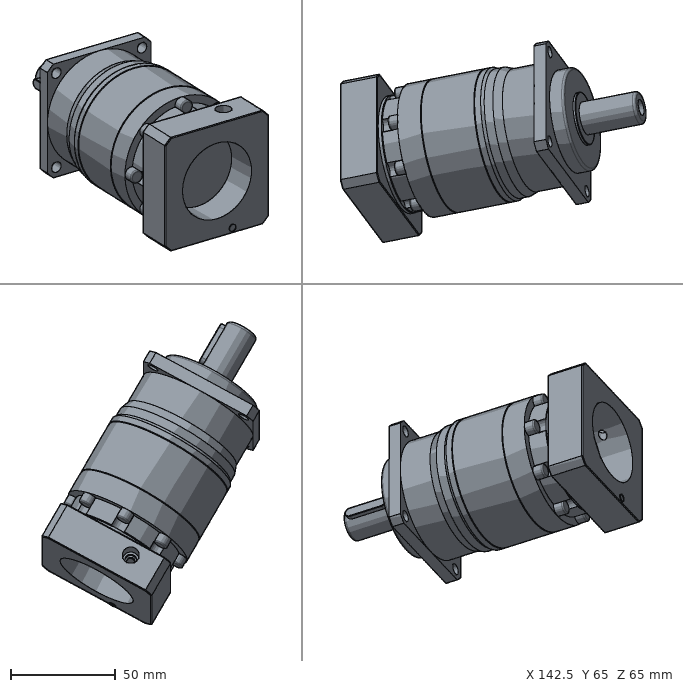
import cadquery as cq
import math


seal_front_x = 28.5
pilot_front_x = 29.8
flange_front_x = 37.0
flange_rear_x = 43.2
taper_start_x = 59.3
taper_end_x = 63.5
step_start_x = 68.0
step_end_x = 69.4
front_joint_x = 72.7
rear_joint_x = 99.9
barrel_rear_x = 111.9
neck_rear_x = 121.5
plate_front_x = 123.1
plate_rear_x = 142.1
overall_length = 142.5

square_side = 60.0
corner_radius = 40.0

shaft_radius = 8.0
shaft_tip_fillet = 1.4
shaft_end_x = flange_rear_x
center_mouth_radius = 3.8
center_relief_radius = 2.7
center_thread_radius = 2.1
center_relief_depth = 3.4
center_thread_depth = 12.8
center_cone_angle = 60.0
drill_tip_angle = 120.0

key_width = 5.0
key_length = 22.1
key_front_x = 2.3
key_bottom = 5.1
key_top = 10.3
key_chamfer = 0.3

seal_radius = 12.8
seal_chamfer = 0.3
pilot_radius = 25.1
pilot_fillet = 1.1
front_radius = 29.9
collar_radius = 31.5
barrel_radius = 32.5
joint_width = 0.4
joint_depth = 0.3
neck_radius = 28.4
neck_chamfer = 0.4
flange_hole_radius = 2.7
flange_hole_circle = 35.0

screw_count = 8
screw_circle = 28.9
screw_pocket_radius = 3.5
screw_head_radius = 3.4
screw_head_height = 5.0
screw_head_fillet = 0.7

spigot_radius = 28.6
plate_chamfer = 0.4
motor_bore_radius = 20.0
motor_bore_front_x = 125.4
access_hole_x = 130.1
access_hole_y = 12.0
access_mouth_radius = 4.0
access_mouth_depth = 9.3
access_step_radius = 2.8
access_step_depth = 11.4
access_through_radius = 2.0
rear_stud_radius = 1.9
rear_stud_y = 8.8
rear_stud_z = -27.1


def cylinder_x(radius, start_x, end_x, y=0.0, z=0.0):
    """Cylinder along X between two axial positions."""
    plane = cq.Workplane("YZ", origin=(start_x, y, z))
    return plane.circle(radius).extrude(end_x - start_x)


def square_block(start_x, end_x):
    """Square slab across the axis with its corners turned round."""
    block = cq.Workplane("YZ", origin=(start_x, 0, 0)).rect(square_side, square_side).extrude(end_x - start_x)
    return block.intersect(cylinder_x(corner_radius, start_x, end_x))


def revolve_profile(points):
    """Solid of revolution about the X axis from (x, radius) points."""
    return cq.Workplane("XZ").polyline(points).close().revolve(360, (0, 0, 0), (1, 0, 0))


def key_block():
    """Round-ended key before its top edge is broken."""
    key_center_x = key_front_x + key_length / 2
    plane = cq.Workplane("XZ", origin=(key_center_x, -key_bottom, 0))
    return plane.slot2D(key_length, key_width).extrude(key_top - key_bottom)


def make_key():
    return key_block().faces("<Y").edges().chamfer(key_chamfer)


def center_hole():
    """Stepped centre hole in the shaft tip with a conical bottom."""
    half_cone = math.radians(center_cone_angle / 2)
    half_tip = math.radians(drill_tip_angle / 2)
    cone_depth = (center_mouth_radius - center_relief_radius) / math.tan(half_cone)
    tip_depth = center_thread_depth + center_thread_radius / math.tan(half_tip)
    return revolve_profile([
        (0, 0),
        (0, center_mouth_radius),
        (cone_depth, center_relief_radius),
        (center_relief_depth, center_relief_radius),
        (center_relief_depth, center_thread_radius),
        (center_thread_depth, center_thread_radius),
        (tip_depth, 0),
    ])


def make_shaft():
    shaft = cylinder_x(shaft_radius, 0, shaft_end_x)
    shaft = shaft.faces("<X").edges().fillet(shaft_tip_fillet)
    return shaft.cut(center_hole()).cut(key_block())


def housing_core():
    """Turned body of the housing from the seal ring to the neck."""
    core = revolve_profile([
        (seal_front_x, 0),
        (seal_front_x, seal_radius - seal_chamfer),
        (seal_front_x + seal_chamfer, seal_radius),
        (flange_front_x, seal_radius),
        (flange_front_x, front_radius),
        (taper_start_x, front_radius),
        (taper_end_x, collar_radius),
        (step_start_x, collar_radius),
        (step_end_x, barrel_radius),
        (barrel_rear_x, barrel_radius),
        (barrel_rear_x, neck_radius),
        (neck_rear_x - neck_chamfer, neck_radius),
        (neck_rear_x, neck_radius - neck_chamfer),
        (neck_rear_x, 0),
    ])
    pilot = cylinder_x(pilot_radius, pilot_front_x, flange_front_x)
    return core.union(pilot.faces("<X").edges().fillet(pilot_fillet))


def joint_groove(center_x):
    """V-shaped ring cut where two barrel sections meet."""
    return revolve_profile([
        (center_x - joint_width / 2, barrel_radius),
        (center_x, barrel_radius - joint_depth),
        (center_x + joint_width / 2, barrel_radius),
    ])


def screw_head():
    head = cylinder_x(screw_head_radius, barrel_rear_x, barrel_rear_x + screw_head_height)
    return head.faces(">X").edges().fillet(screw_head_fillet)


def make_housing():
    housing = housing_core().union(square_block(flange_front_x, flange_rear_x))

    for joint_x in (front_joint_x, rear_joint_x):
        housing = housing.cut(joint_groove(joint_x))

    hole_offset = flange_hole_circle / math.sqrt(2)
    for side_y in (-1, 1):
        for side_z in (-1, 1):
            hole = cylinder_x(
                flange_hole_radius, flange_front_x, flange_rear_x, side_y * hole_offset, side_z * hole_offset
            )
            housing = housing.cut(hole)

    for index in range(screw_count):
        angle = 2 * math.pi * index / screw_count
        screw_y = screw_circle * math.cos(angle)
        screw_z = screw_circle * math.sin(angle)
        pocket = cylinder_x(screw_pocket_radius, barrel_rear_x, neck_rear_x, screw_y, screw_z)
        head = screw_head().translate((0, screw_y, screw_z))
        housing = housing.cut(pocket).union(head)

    shaft_bore = cylinder_x(shaft_radius, seal_front_x, shaft_end_x)
    return housing.cut(shaft_bore)


def access_hole():
    """Stepped hole from the top of the plate down into the motor bore."""
    top_z = square_side / 2
    top = cq.Workplane("XY", origin=(access_hole_x, access_hole_y, top_z))
    hole = top.circle(access_through_radius).extrude(-top_z)
    hole = hole.union(top.circle(access_step_radius).extrude(-access_step_depth))
    return hole.union(top.circle(access_mouth_radius).extrude(-access_mouth_depth))


def make_adapter_plate():
    plate = square_block(plate_front_x, plate_rear_x)
    plate = plate.faces("<X or >X").edges().chamfer(plate_chamfer)
    plate = plate.union(cylinder_x(spigot_radius, neck_rear_x, plate_front_x))
    plate = plate.cut(cylinder_x(motor_bore_radius, motor_bore_front_x, plate_rear_x))
    plate = plate.cut(access_hole())
    stud = cylinder_x(rear_stud_radius, plate_rear_x, overall_length, rear_stud_y, rear_stud_z)
    return plate.union(stud)


output_shaft = make_shaft()
key = make_key()
housing = make_housing()
adapter_plate = make_adapter_plate()

result = cq.Compound.makeCompound([
    output_shaft.val(),
    key.val(),
    housing.val(),
    adapter_plate.val(),
])